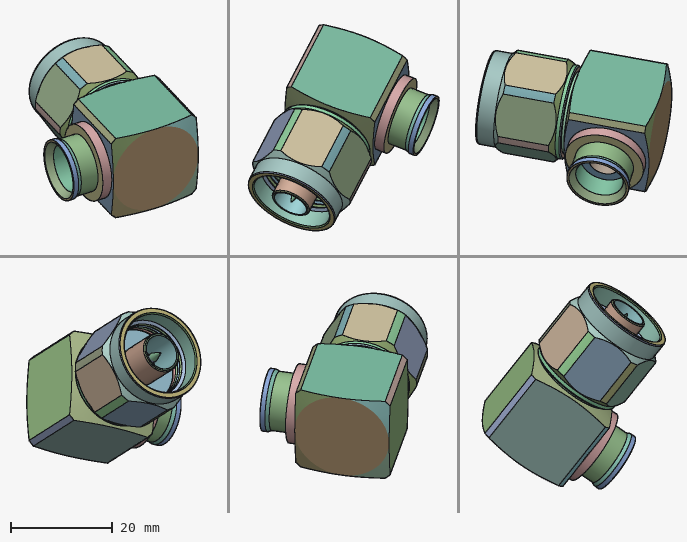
import cadquery as cq
import math


seat_x = 8.15
neck_radius = 8.25

nut_front_x = 0.4
nut_rear_x = 17.5
nut_radius = 9.37
nut_front_chamfer = 0.1
nut_front_chamfer_length = 0.3
nut_rear_chamfer = 0.25
hex_front_x = 4.1
hex_rear_x = 16.5
hex_sides = 6
hex_across_flats = 19.0
hex_corner_radius = 10.47
mouth_radius = 8.13
mouth_chamfer = 0.25
mouth_end_x = 4.25
thread_lead_length = 0.43
thread_crest_radius = 7.5
thread_pitch = 0.8
thread_depth = 0.4
thread_count = 4

block_front_x = 18.07
block_rear_x = 35.5
block_side = 19.0
block_edge_chamfer = 1.0
block_front_flat_radius = 8.52
block_cone_angle = 15.0

tube_radius = 4.0
tube_chamfer = 0.2
tube_bore_radius = 3.48
pin_tip_x = 0.5
pin_tip_radius = 0.15
pin_cone_length = 2.5
pin_radius = 0.9
pin_shoulder_x = 5.32
pin_shoulder_radius = 1.6
pin_shoulder_chamfer = 0.25

port_x = 26.98
port_end_y = -17.05
flange_radius = 7.88
flange_end_y = -11.5
port_radius = 5.9
lip_radius = 6.25
lip_cone_start_y = -15.23
lip_start_y = -16.0
port_bore_radius = 4.8
port_mouth_radius = 5.8
port_mouth_depth = 1.42
port_hole_radius = 3.1


def turned_on_x(points):
    """Solid of revolution about the X axis from (x, radius) points."""
    return cq.Workplane("XY").polyline(points).close().revolve(360, (0, 0, 0), (1, 0, 0))


def turned_on_port(points):
    """Solid of revolution about the port axis from (radius, y) points."""
    profile = cq.Workplane("XY").polyline([(port_x + r, y) for r, y in points]).close()
    return profile.revolve(360, (port_x, 0, 0), (port_x, 1, 0))


def cylinder_on_x(start_x, end_x, radius):
    return cq.Workplane("YZ", origin=(start_x, 0, 0)).circle(radius).extrude(end_x - start_x)


def nut_outside():
    """Turned blank with 45 degree shoulders, with six flats cut between the round ends."""
    shoulder = hex_corner_radius - nut_radius
    blank = turned_on_x([
        (hex_front_x, 0),
        (hex_front_x, nut_radius),
        (hex_front_x + shoulder, hex_corner_radius),
        (hex_rear_x - shoulder, hex_corner_radius),
        (hex_rear_x, nut_radius),
        (hex_rear_x, 0),
    ])
    hex_bar = (
        cq.Workplane("YZ", origin=(hex_front_x, 0, 0))
        .polygon(hex_sides, hex_across_flats / math.cos(math.pi / hex_sides))
        .extrude(hex_rear_x - hex_front_x)
    )
    barrel = turned_on_x([
        (nut_front_x, 0),
        (nut_front_x, nut_radius - nut_front_chamfer),
        (nut_front_x + nut_front_chamfer_length, nut_radius),
        (nut_rear_x - nut_rear_chamfer, nut_radius),
        (nut_rear_x, nut_radius - nut_rear_chamfer),
        (nut_rear_x, 0),
    ])
    return blank.intersect(hex_bar).union(barrel)


def nut_bore():
    """Chamfered mouth, ringed thread grooves and the rear bore around the body's neck."""
    thread_start_x = mouth_end_x + thread_lead_length
    points = [
        (nut_front_x, 0),
        (nut_front_x, mouth_radius + mouth_chamfer),
        (nut_front_x + mouth_chamfer, mouth_radius),
        (mouth_end_x, mouth_radius),
        (thread_start_x, thread_crest_radius),
    ]
    for i in range(thread_count):
        groove_x = thread_start_x + i * thread_pitch
        points.append((groove_x + thread_pitch / 2, thread_crest_radius + thread_depth))
        points.append((groove_x + thread_pitch, thread_crest_radius))
    points += [
        (seat_x, thread_crest_radius),
        (seat_x, neck_radius),
        (nut_rear_x, neck_radius),
        (nut_rear_x, 0),
    ]
    return turned_on_x(points)


def elbow_block():
    """Square block with chamfered long edges and shallow cones turned on both ends."""
    block = (
        cq.Workplane("YZ", origin=(block_front_x, 0, 0))
        .rect(block_side, block_side)
        .extrude(block_rear_x - block_front_x)
        .edges("|X")
        .chamfer(block_edge_chamfer)
    )
    slope = math.tan(math.radians(block_cone_angle))
    rear_flat_radius = block_side / 2
    outer_radius = block_side / math.sqrt(2)
    envelope = turned_on_x([
        (block_front_x, 0),
        (block_front_x, block_front_flat_radius),
        (block_front_x + slope * (outer_radius - block_front_flat_radius), outer_radius),
        (block_rear_x - slope * (outer_radius - rear_flat_radius), outer_radius),
        (block_rear_x, rear_flat_radius),
        (block_rear_x, 0),
    ])
    return block.intersect(envelope)


def contact_tube():
    """Thin tube around the pin, with a chamfered tip."""
    return turned_on_x([
        (0, tube_bore_radius),
        (0, tube_radius - tube_chamfer),
        (tube_chamfer, tube_radius),
        (seat_x, tube_radius),
        (seat_x, tube_bore_radius),
    ])


def centre_pin():
    """Stepped pin with a blunt conical tip and a chamfered shoulder."""
    return turned_on_x([
        (pin_tip_x, 0),
        (pin_tip_x, pin_tip_radius),
        (pin_tip_x + pin_cone_length, pin_radius),
        (pin_shoulder_x, pin_radius),
        (pin_shoulder_x, pin_shoulder_radius - pin_shoulder_chamfer),
        (pin_shoulder_x + pin_shoulder_chamfer, pin_shoulder_radius),
        (seat_x, pin_shoulder_radius),
        (seat_x, 0),
    ])


def port_outside():
    """Flange, neck and flared lip of the cable port."""
    return turned_on_port([
        (0, -block_side / 2),
        (flange_radius, -block_side / 2),
        (flange_radius, flange_end_y),
        (port_radius, flange_end_y),
        (port_radius, lip_cone_start_y),
        (lip_radius, lip_start_y),
        (lip_radius, port_end_y),
        (0, port_end_y),
    ])


def port_bore():
    """Flared mouth and bore, level with the flange at its floor."""
    return turned_on_port([
        (0, port_end_y),
        (port_mouth_radius, port_end_y),
        (port_bore_radius, port_end_y + port_mouth_depth),
        (port_bore_radius, flange_end_y),
        (0, flange_end_y),
    ])


def port_hole():
    """Hole in the port floor that ends on a round core in line with the neck."""
    hole = turned_on_port([
        (0, flange_end_y),
        (port_hole_radius, flange_end_y),
        (port_hole_radius, 0),
        (0, 0),
    ])
    return hole.cut(cylinder_on_x(block_front_x, block_rear_x, neck_radius))


def make_coupling_nut():
    return nut_outside().cut(nut_bore())


def make_elbow_body():
    neck = cylinder_on_x(seat_x, block_front_x, neck_radius)
    body = elbow_block().union(neck).union(port_outside())
    body = body.cut(port_bore()).cut(port_hole())
    return body.union(contact_tube()).union(centre_pin())


coupling_nut = make_coupling_nut()
elbow_body = make_elbow_body()

result = cq.Compound.makeCompound([coupling_nut.val(), elbow_body.val()])